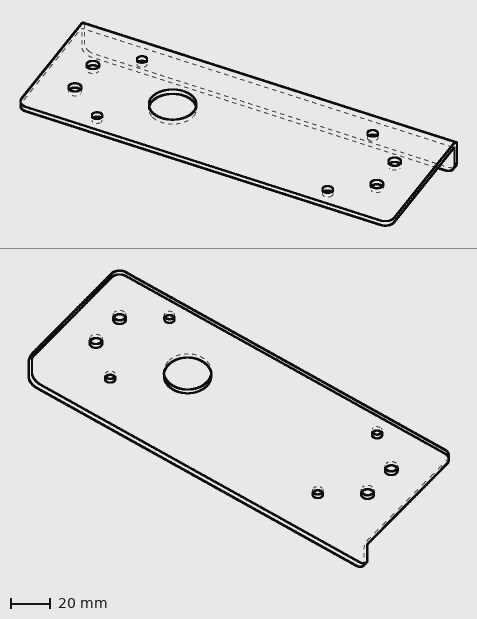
import cadquery as cq

length = 210.0
depth = 75.0
height = 20.0

thickness = 3.0
inner_bend_radius = 0.6
outer_bend_radius = inner_bend_radius + thickness
corner_radius = 5.0

pattern_from_back = 40.0
outer_hole_diameter = 6.5
outer_hole_spacing_x = 170.0
outer_hole_spacing_y = 20.0
inner_hole_diameter = 5.2
inner_hole_spacing_x = 130.0
inner_hole_spacing_y = 50.0

opening_diameter = 24.0
opening_from_left = 70.0

back = depth / 2
pattern_y = back - pattern_from_back


def bent_sheet():
    """L-shaped sheet: a horizontal plate with a flange turned down at the back."""
    plate = cq.Workplane("XY").box(length, depth, thickness, centered=(True, True, False))
    plate = plate.translate((0, 0, height - thickness))
    flange = cq.Workplane("XY").box(length, thickness, height, centered=(True, False, False))
    flange = flange.translate((0, back - thickness, 0))
    sheet = plate.union(flange)

    sheet = sheet.edges("|X and >Y and >Z").fillet(outer_bend_radius)
    inside_corner = cq.NearestToPointSelector((0, back - thickness, height - thickness))
    sheet = sheet.edges(inside_corner).fillet(inner_bend_radius)

    sheet = sheet.edges("|Z and <Y").fillet(corner_radius)
    return sheet.edges("|Y and <Z").fillet(corner_radius)


def plate_hole_cutter(points, diameter):
    """Cylinders along Z that pass through the plate at the given points."""
    return cq.Workplane("XY").pushPoints(points).circle(diameter / 2).extrude(height)


def rectangle_corners(spacing_x, spacing_y):
    """Corners of a rectangle centred on the hole pattern."""
    return [
        (side_x * spacing_x / 2, pattern_y + side_y * spacing_y / 2)
        for side_x in (-1, 1)
        for side_y in (-1, 1)
    ]


outer_holes = rectangle_corners(outer_hole_spacing_x, outer_hole_spacing_y)
inner_holes = rectangle_corners(inner_hole_spacing_x, inner_hole_spacing_y)
opening = [(opening_from_left - length / 2, pattern_y)]

result = bent_sheet()
result = result.cut(plate_hole_cutter(outer_holes, outer_hole_diameter))
result = result.cut(plate_hole_cutter(inner_holes, inner_hole_diameter))
result = result.cut(plate_hole_cutter(opening, opening_diameter))